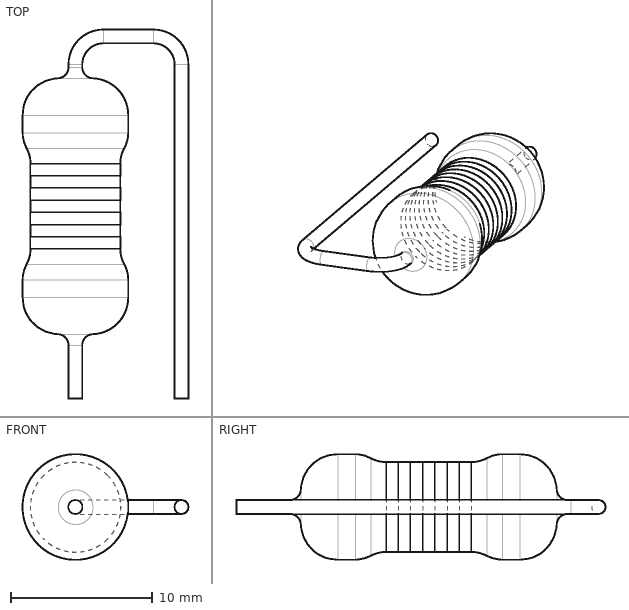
import cadquery as cq
import math

total_length = 26.1
total_width = 11.75

cap_diameter = 7.5
waist_diameter = 6.37
body_length = 18.11
cap_round = 2.6
cap_inner_y = 5.2

band_diameter = 6.4
band_count = 4
band_width = 0.85
band_pitch = 2 * band_width

lead_diameter = 1.0
lead_foot_radius = 0.75
bend_radius = 1.98
lead_tip_y = -13.6

cap_radius = cap_diameter / 2
waist_radius = waist_diameter / 2
lead_radius = lead_diameter / 2
body_end_y = body_length / 2
banded_half_length = (band_count - 1) * band_pitch / 2 + band_width / 2
lead_spacing = total_width - cap_radius - lead_radius
bridge_y = lead_tip_y + total_length - lead_radius


def make_body_end():
    """Revolve the +Y end of the body: S-shaped shoulder, cap and lead flare."""
    half_run = (cap_inner_y - banded_half_length) / 2
    half_rise = (cap_radius - waist_radius) / 2
    shoulder_middle = (waist_radius + half_rise, banded_half_length + half_run)

    shoulder_radius = (half_run**2 + half_rise**2) / (2 * half_rise)
    half_turn = math.asin(half_run / shoulder_radius) / 2
    lower_arc_middle = (
        waist_radius + shoulder_radius * (1 - math.cos(half_turn)),
        banded_half_length + shoulder_radius * math.sin(half_turn),
    )

    round_x = cap_radius - cap_round
    round_y = body_end_y - cap_round

    flare_x = lead_radius + lead_foot_radius
    center_distance = cap_round + lead_foot_radius
    flare_y = round_y + math.sqrt(center_distance**2 - (flare_x - round_x)**2)
    contact_share = cap_round / center_distance
    contact_point = (
        round_x + (flare_x - round_x) * contact_share,
        round_y + (flare_y - round_y) * contact_share,
    )

    profile = (
        cq.Workplane("XY")
        .moveTo(0, banded_half_length)
        .lineTo(waist_radius, banded_half_length)
        .threePointArc(lower_arc_middle, shoulder_middle)
        .tangentArcPoint((cap_radius, cap_inner_y), relative=False)
        .lineTo(cap_radius, round_y)
        .tangentArcPoint(contact_point, relative=False)
        .tangentArcPoint((lead_radius, flare_y), relative=False)
        .lineTo(0, flare_y)
        .close()
    )
    return profile.revolve(360, (0, 0, 0), (0, 1, 0))


def make_disc(diameter, length, center_y):
    """Cylinder on the body axis, centred at the given Y."""
    return (
        cq.Workplane("XZ", origin=(0, center_y + length / 2, 0))
        .circle(diameter / 2)
        .extrude(length)
    )


def make_lead():
    """Sweep one wire through the body, over the bridge and back down beside it."""
    bend_start_y = bridge_y - bend_radius
    bend_middle = bend_radius * (1 - math.sqrt(0.5))
    path = (
        cq.Workplane("XY")
        .moveTo(0, lead_tip_y)
        .lineTo(0, bend_start_y)
        .threePointArc((bend_middle, bridge_y - bend_middle), (bend_radius, bridge_y))
        .lineTo(lead_spacing - bend_radius, bridge_y)
        .threePointArc(
            (lead_spacing - bend_middle, bridge_y - bend_middle),
            (lead_spacing, bend_start_y),
        )
        .lineTo(lead_spacing, lead_tip_y)
    )
    return cq.Workplane("XZ", origin=(0, lead_tip_y, 0)).circle(lead_radius).sweep(path)


body_end = make_body_end()
waist = make_disc(waist_diameter, 2 * banded_half_length, 0)
result = waist.union(body_end).union(body_end.mirror("XZ"))
for band_index in range(band_count):
    band_y = (band_index - (band_count - 1) / 2) * band_pitch
    result = result.union(make_disc(band_diameter, band_width, band_y))
result = result.union(make_lead())